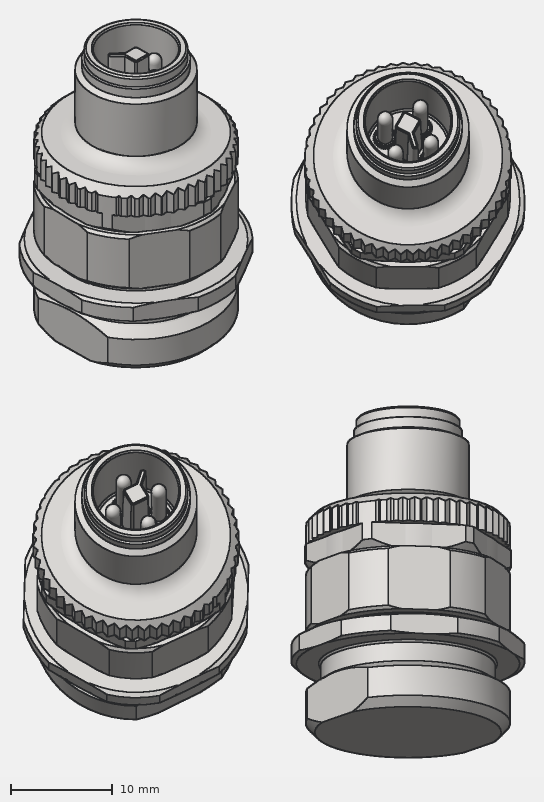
import cadquery as cq
import math

TOTAL_HEIGHT = 32.0
BASE_CHAMFER_TOP = 0.93
BASE_CONE_BOTTOM = 4.0
BASE_CONE_TOP = 4.75
NECK_BOTTOM = 4.9
NECK_TOP = 6.8
LOCKNUT_BOTTOM = 7.0
LOCKNUT_TOP = 9.02
UPPER_NECK_CHAMFER = 9.25
MID_HEX_BOTTOM = 9.9
MID_HEX_TOP = 16.35
KNURL_HEX_CONE_TOP = 17.12
KNURL_BOTTOM = 18.8
FLANGE_TOP = 21.85
FLARE_TOP = 22.75
SLEEVE_BOTTOM = 23.17
SLEEVE_CONE_BOTTOM = 29.45
SLEEVE_CONE_TOP = 29.75
SLEEVE_TOP = 30.8

BASE_RADIUS = 10.08
BASE_FOOT_RADIUS = 9.2
BASE_FLAT_DISTANCE = 8.85
BASE_CONE_TOP_RADIUS = 8.8
NECK_RADIUS = 8.6

LOCKNUT_WIDTH_OVER_CORNERS = 23.0
LOCKNUT_WIDTH_OVER_FLATS = 22.0
LOCKNUT_CORNER_RADIUS = LOCKNUT_WIDTH_OVER_CORNERS / 2
LOCKNUT_FLAT_DISTANCE = LOCKNUT_WIDTH_OVER_FLATS / 2
LOCKNUT_CHAMFER = 0.2
LOCKNUT_FACE_RADIUS = 11.0
UPPER_NECK_RADIUS = 8.5
UPPER_NECK_CHAMFER_RADIUS = 8.4
COUNTERSINK_RADIUS = 8.9
COUNTERSINK_DEPTH = COUNTERSINK_RADIUS - UPPER_NECK_CHAMFER_RADIUS

HEX_TWIST = -1.6
MID_HEX_CORNER_RADIUS = 10.08
MID_HEX_FLAT_DISTANCE = 9.6
MID_HEX_FACE_RADIUS = 9.75
MID_HEX_CHAMFER = 0.32

KNURL_RADIUS = 10.18
FLANGE_FACE_RADIUS = 9.3
FLANGE_CHAMFER = KNURL_RADIUS - FLANGE_FACE_RADIUS
KNURL_HEX_FLAT_DISTANCE = 9.05
KNURL_HEX_CORE_RADIUS = 9.15
KNURL_HEX_FOOT_RADIUS = 9.35
KNURL_COUNT = 52
KNURL_PHASE = 0.3
KNURL_DEPTH = 0.48
KNURL_HALF_ANGLE = 60.0
KNURL_SMALLEST_FADE = 0.25
KNURL_CUTTER_OVERSHOOT = 0.32
KNURL_DEEPEST_ANGLE = 30.0

FLARE_FOOT_RADIUS = 7.4
FLARE_TOP_RADIUS = 5.4
SLEEVE_RADIUS = 6.0
SLEEVE_COLLAR_RADIUS = 5.35

RIM_RADIUS = 5.12
RIM_FACE_RADIUS = 4.93
RIM_CHAMFER_HEIGHT = 0.2
RIM_BOTTOM = 30.88
INSERT_RADIUS = 4.77
INSERT_BOTTOM = 22.4
FLOOR_HEIGHT = 23.68
BORE_RADIUS = 4.22
BORE_FOOT_CHAMFER = 0.2
BORE_MOUTH_RADIUS = 4.4
BORE_CHAMFER_HEIGHT = 0.15

KEY_TOP = 31.3
KEY_WIDTH = 2.2
KEY_CORNER_CHAMFER = 0.25
KEY_TOP_CHAMFER = 0.13
KEY_DRAFT_ANGLE = 1.0
KEY_RIB_RADIUS = 0.4
KEY_RIB_REACH = 2.43
KEY_RIB_ANGLE = 225.0

PIN_COUNT = 4
PIN_RADIUS = 0.75
PIN_CIRCLE_RADIUS = 2.55
LONG_PIN_TOP = 30.45
SHORT_PIN_TOP = 29.95
PIN_COLLAR_RADIUS = 1.2
PIN_COLLAR_FACE_RADIUS = 0.93
PIN_COLLAR_HEIGHT = 0.25
PIN_TOOTH_COUNT = 36


def turned(points):
    """Solid of revolution about Z from (radius, height) points."""
    return cq.Workplane("XZ").polyline(points).close().revolve(360, (0, 0, 0), (0, 1, 0))


def polar_point(radius, turn):
    """(x, y) at a radius and an angle in radians."""
    return (radius * math.cos(turn), radius * math.sin(turn))


def cylinder(radius, bottom, top):
    return cq.Workplane("XY").workplane(offset=bottom).circle(radius).extrude(top - bottom)


def hexagon(flat_distance, bottom, top, twist=0.0):
    """Hexagonal prism with two flats facing -Y and +Y before the twist."""
    corner_diameter = 2 * flat_distance / math.cos(math.radians(30))
    prism = cq.Workplane("XY").workplane(offset=bottom).polygon(6, corner_diameter).extrude(top - bottom)
    return prism.rotate((0, 0, 0), (0, 0, 1), twist)


def chamfered_hexagon(flat_distance, corner_radius, face_radius, chamfer, bottom, top, twist=0.0):
    """Hexagon with its corners turned round and coned at both ends."""
    blank = turned([
        (0, bottom),
        (face_radius, bottom),
        (corner_radius, bottom + chamfer),
        (corner_radius, top - chamfer),
        (face_radius, top),
        (0, top),
    ])
    return blank.intersect(hexagon(flat_distance, bottom, top, twist))


def knurl_cutter(angle, depth):
    """V-shaped prism that cuts one knurl groove at the given angle."""
    root_radius = KNURL_RADIUS - depth
    outer_radius = KNURL_RADIUS + KNURL_CUTTER_OVERSHOOT
    half_width = (outer_radius - root_radius) * math.tan(math.radians(KNURL_HALF_ANGLE))
    groove = (
        cq.Workplane("XY")
        .workplane(offset=KNURL_BOTTOM)
        .polyline([
            (root_radius, 0),
            (outer_radius, half_width),
            (outer_radius, -half_width),
        ])
        .close()
        .extrude(FLANGE_TOP - KNURL_BOTTOM)
    )
    return groove.rotate((0, 0, 0), (0, 0, 1), angle)


def make_base():
    """Foot with two flats, and the neck above it up to the locknut."""
    foot = turned([
        (0, 0),
        (BASE_FOOT_RADIUS, 0),
        (BASE_RADIUS, BASE_CHAMFER_TOP),
        (BASE_RADIUS, BASE_CONE_BOTTOM),
        (BASE_CONE_TOP_RADIUS, BASE_CONE_TOP),
        (NECK_RADIUS, NECK_BOTTOM),
        (NECK_RADIUS, NECK_TOP),
        (BASE_CONE_TOP_RADIUS, LOCKNUT_BOTTOM),
        (0, LOCKNUT_BOTTOM),
    ])
    flats = cq.Workplane("XY").box(
        2 * BASE_RADIUS, 2 * BASE_FLAT_DISTANCE, LOCKNUT_BOTTOM, centered=(True, True, False)
    )
    return foot.intersect(flats)


def make_nut_section():
    """Locknut with a countersunk thread mouth, the short neck above it and the middle hexagon."""
    locknut = chamfered_hexagon(
        LOCKNUT_FLAT_DISTANCE, LOCKNUT_CORNER_RADIUS, LOCKNUT_FACE_RADIUS,
        LOCKNUT_CHAMFER, LOCKNUT_BOTTOM, LOCKNUT_TOP,
    )
    countersink = turned([
        (UPPER_NECK_CHAMFER_RADIUS, LOCKNUT_TOP),
        (COUNTERSINK_RADIUS, LOCKNUT_TOP),
        (UPPER_NECK_CHAMFER_RADIUS, LOCKNUT_TOP - COUNTERSINK_DEPTH),
    ])
    neck = turned([
        (0, LOCKNUT_TOP),
        (UPPER_NECK_CHAMFER_RADIUS, LOCKNUT_TOP),
        (UPPER_NECK_RADIUS, UPPER_NECK_CHAMFER),
        (UPPER_NECK_RADIUS, MID_HEX_BOTTOM),
        (0, MID_HEX_BOTTOM),
    ])
    mid_hex = chamfered_hexagon(
        MID_HEX_FLAT_DISTANCE, MID_HEX_CORNER_RADIUS, MID_HEX_FACE_RADIUS,
        MID_HEX_CHAMFER, MID_HEX_BOTTOM, MID_HEX_TOP, HEX_TWIST,
    )
    return locknut.cut(countersink).union(neck).union(mid_hex)


def make_knurled_flange():
    """Chamfered flange; its V grooves fade out towards two opposite sides."""
    flange = turned([
        (0, KNURL_BOTTOM),
        (KNURL_RADIUS, KNURL_BOTTOM),
        (KNURL_RADIUS, FLANGE_TOP - FLANGE_CHAMFER),
        (FLANGE_FACE_RADIUS, FLANGE_TOP),
        (0, FLANGE_TOP),
    ])
    grooves = []
    for i in range(KNURL_COUNT):
        angle = KNURL_PHASE + i * 360 / KNURL_COUNT
        fade = math.sqrt(abs(math.cos(math.radians(angle - KNURL_DEEPEST_ANGLE))))
        if fade > KNURL_SMALLEST_FADE:
            grooves.append(knurl_cutter(angle, KNURL_DEPTH * fade).val())
    return cq.Workplane(flange.val().cut(*grooves))


def make_flange_hexagon():
    """Hexagon under the flange: coned corners, and a round core that bulges out of the flats."""
    blank = turned([
        (0, MID_HEX_TOP),
        (KNURL_HEX_FOOT_RADIUS, MID_HEX_TOP),
        (KNURL_RADIUS, KNURL_HEX_CONE_TOP),
        (KNURL_RADIUS, KNURL_BOTTOM),
        (0, KNURL_BOTTOM),
    ])
    hexagon_band = blank.intersect(hexagon(KNURL_HEX_FLAT_DISTANCE, MID_HEX_TOP, KNURL_BOTTOM, HEX_TWIST))
    return hexagon_band.union(cylinder(KNURL_HEX_CORE_RADIUS, MID_HEX_TOP, KNURL_BOTTOM))


def make_sleeve():
    """Sleeve with a concave flare that runs out tangent to the flange face."""
    flare_width = FLARE_FOOT_RADIUS - FLARE_TOP_RADIUS
    flare_height = FLARE_TOP - FLANGE_TOP
    flare_radius = (flare_width**2 + flare_height**2) / (2 * flare_height)
    half_sweep = math.asin(flare_width / flare_radius) / 2
    flare_middle = (
        FLARE_FOOT_RADIUS - flare_radius * math.sin(half_sweep),
        FLANGE_TOP + flare_radius * (1 - math.cos(half_sweep)),
    )
    return (
        cq.Workplane("XZ")
        .moveTo(0, FLANGE_TOP)
        .lineTo(FLARE_FOOT_RADIUS, FLANGE_TOP)
        .threePointArc(flare_middle, (FLARE_TOP_RADIUS, FLARE_TOP))
        .lineTo(SLEEVE_RADIUS, SLEEVE_BOTTOM)
        .lineTo(SLEEVE_RADIUS, SLEEVE_CONE_BOTTOM)
        .lineTo(SLEEVE_COLLAR_RADIUS, SLEEVE_CONE_TOP)
        .lineTo(SLEEVE_COLLAR_RADIUS, SLEEVE_TOP)
        .lineTo(0, SLEEVE_TOP)
        .close()
        .revolve(360, (0, 0, 0), (0, 1, 0))
    )


def make_housing():
    housing = make_base()
    for section in (make_nut_section(), make_flange_hexagon(), make_knurled_flange(), make_sleeve()):
        housing = housing.union(section)
    return housing.cut(cylinder(INSERT_RADIUS, INSERT_BOTTOM, SLEEVE_TOP))


def make_key():
    """Drafted square key with a round-ended rib towards the -X, -Y corner."""
    height = KEY_TOP - FLOOR_HEIGHT
    plane = cq.Workplane("XY").workplane(offset=FLOOR_HEIGHT)
    square_outline = cq.Sketch().rect(KEY_WIDTH, KEY_WIDTH).vertices().chamfer(KEY_CORNER_CHAMFER)
    square = plane.placeSketch(square_outline).extrude(height, taper=KEY_DRAFT_ANGLE)
    rib = (
        plane.center(KEY_RIB_REACH / 2, 0)
        .slot2D(KEY_RIB_REACH + 2 * KEY_RIB_RADIUS, 2 * KEY_RIB_RADIUS)
        .extrude(height, taper=KEY_DRAFT_ANGLE)
        .rotate((0, 0, 0), (0, 0, 1), KEY_RIB_ANGLE)
    )
    return square.union(rib).faces(">Z").chamfer(KEY_TOP_CHAMFER)


def make_insert():
    """Cup with a rim, the coding key and one hole per pin."""
    cup = turned([
        (0, INSERT_BOTTOM),
        (INSERT_RADIUS, INSERT_BOTTOM),
        (INSERT_RADIUS, RIM_BOTTOM),
        (RIM_RADIUS, RIM_BOTTOM),
        (RIM_RADIUS, TOTAL_HEIGHT - RIM_CHAMFER_HEIGHT),
        (RIM_FACE_RADIUS, TOTAL_HEIGHT),
        (BORE_MOUTH_RADIUS, TOTAL_HEIGHT),
        (BORE_RADIUS, TOTAL_HEIGHT - BORE_CHAMFER_HEIGHT),
        (BORE_RADIUS, FLOOR_HEIGHT + BORE_FOOT_CHAMFER),
        (BORE_RADIUS - BORE_FOOT_CHAMFER, FLOOR_HEIGHT),
        (0, FLOOR_HEIGHT),
    ])
    pin_holes = (
        cq.Workplane("XY")
        .workplane(offset=INSERT_BOTTOM)
        .polarArray(PIN_CIRCLE_RADIUS, 0, 360, PIN_COUNT)
        .circle(PIN_RADIUS)
        .extrude(FLOOR_HEIGHT - INSERT_BOTTOM)
    )
    return cup.cut(pin_holes).union(make_key())


def make_pin(angle, top):
    """Round-tipped pin with a coned, toothed collar resting on the insert floor."""
    shaft = cylinder(PIN_RADIUS, INSERT_BOTTOM, top - PIN_RADIUS)
    tip = cq.Workplane("XY").sphere(PIN_RADIUS).translate((0, 0, top - PIN_RADIUS))
    collar_top = FLOOR_HEIGHT + PIN_COLLAR_HEIGHT
    outline = []
    for i in range(PIN_TOOTH_COUNT):
        crest_turn = 2 * math.pi * i / PIN_TOOTH_COUNT
        root_turn = crest_turn + math.pi / PIN_TOOTH_COUNT
        outline.append(polar_point(PIN_COLLAR_RADIUS, crest_turn))
        outline.append(polar_point(PIN_COLLAR_FACE_RADIUS, root_turn))
    teeth = (
        cq.Workplane("XY").workplane(offset=FLOOR_HEIGHT).polyline(outline).close().extrude(PIN_COLLAR_HEIGHT)
    )
    cone = turned([
        (0, FLOOR_HEIGHT),
        (PIN_COLLAR_RADIUS, FLOOR_HEIGHT),
        (PIN_COLLAR_FACE_RADIUS, collar_top),
        (0, collar_top),
    ])
    pin = shaft.union(tip).union(teeth.intersect(cone)).translate((PIN_CIRCLE_RADIUS, 0, 0))
    return pin.rotate((0, 0, 0), (0, 0, 1), angle)


housing = make_housing()
insert = make_insert()

pins = []
for i in range(PIN_COUNT):
    pin_top = LONG_PIN_TOP if i == 0 else SHORT_PIN_TOP
    pins.append(make_pin(i * 360 / PIN_COUNT, pin_top))

result = cq.Compound.makeCompound([housing.val(), insert.val(), *[pin.val() for pin in pins]])